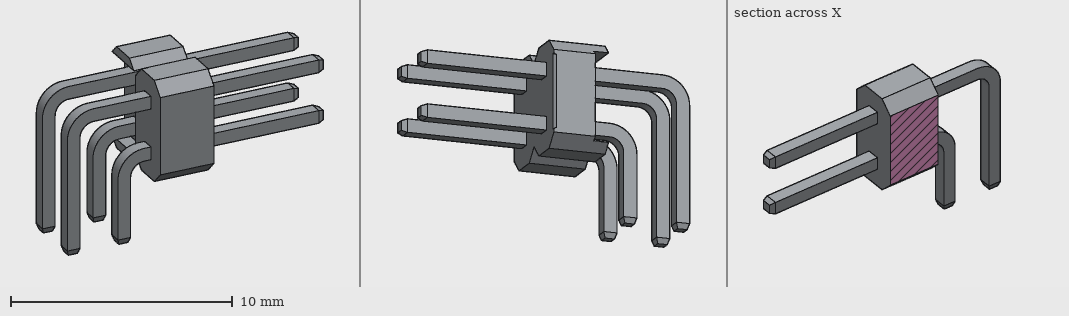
import cadquery as cq
import math

PITCH = 2.54
COLUMNS = 2
ROWS = 2

BODY_DEPTH = 2.7
BODY_HEIGHT = ROWS * PITCH
CORNER_WIDTH = 0.61
CORNER_HEIGHT = 0.6

STEP_DEPTH = 0.7
STEP_MARGIN = 0.44

BEVEL = 0.12
BEVEL_LENGTH = 3.55
BEVEL_END_SLANT = 0.06

PIN = 0.64
BEND_RADIUS = 1.0
REAR_LENGTH = 6.0
FRONT_REACH = 4.2
LEG_DROP = 3.0
TIP_LENGTH = 0.27
TIP_WIDTH = 0.46
TIP_TAPER = math.degrees(math.atan((PIN - TIP_WIDTH) / 2 / TIP_LENGTH))


def block(left):
    """One body block: a rectangle with four bevelled corners, extruded to the rear."""
    right = left + PITCH
    outline = [
        (left + CORNER_WIDTH, 0),
        (right - CORNER_WIDTH, 0),
        (right, CORNER_HEIGHT),
        (right, BODY_HEIGHT - CORNER_HEIGHT),
        (right - CORNER_WIDTH, BODY_HEIGHT),
        (left + CORNER_WIDTH, BODY_HEIGHT),
        (left, BODY_HEIGHT - CORNER_HEIGHT),
        (left, CORNER_HEIGHT),
    ]
    return cq.Workplane("XZ").polyline(outline).close().extrude(-BODY_DEPTH)


def front_step():
    """Material removed across the full width of the first block."""
    step_height = BODY_HEIGHT - 2 * STEP_MARGIN
    lower_corner = (0, 0, STEP_MARGIN)
    return cq.Workplane("XY", origin=lower_corner).box(PITCH, STEP_DEPTH, step_height, centered=False)


def rear_bevel():
    """Triangular cut along the left rear edge, with slanted ends."""
    bottom = (BODY_HEIGHT - BEVEL_LENGTH) / 2
    top = bottom + BEVEL_LENGTH
    inner_y = BODY_DEPTH - BEVEL
    edge_prism = (
        cq.Workplane("XY")
        .polyline([(0, inner_y), (0, BODY_DEPTH), (BEVEL, BODY_DEPTH)])
        .close()
        .extrude(BODY_HEIGHT)
    )
    side_profile = (
        cq.Workplane("YZ")
        .polyline([
            (BODY_DEPTH, bottom),
            (BODY_DEPTH, top),
            (inner_y, top - BEVEL_END_SLANT),
            (inner_y, bottom + BEVEL_END_SLANT),
        ])
        .close()
        .extrude(BEVEL)
    )
    return edge_prism.intersect(side_profile)


def tip(base, direction):
    """Tapered pin tip that grows from the base point in the given direction."""
    plane = cq.Plane(origin=base, xDir=(1, 0, 0), normal=direction)
    return cq.Workplane(plane).rect(PIN, PIN).extrude(TIP_LENGTH, taper=TIP_TAPER)


def pin(column, row):
    """One bent pin: straight through the body, around the bend and down."""
    x = (column + 0.5) * PITCH
    z = (row + 0.5) * PITCH
    leg_y = -FRONT_REACH + PIN / 2 + (ROWS - 1 - row) * PITCH
    rear_y = BODY_DEPTH + REAR_LENGTH - TIP_LENGTH
    leg_z = -LEG_DROP + TIP_LENGTH
    path = (
        cq.Workplane("YZ", origin=(x, 0, 0))
        .moveTo(rear_y, z)
        .lineTo(leg_y + BEND_RADIUS, z)
        .tangentArcPoint((leg_y, z - BEND_RADIUS), relative=False)
        .lineTo(leg_y, leg_z)
    )
    shaft = cq.Workplane("XZ", origin=(x, rear_y, z)).rect(PIN, PIN).sweep(path)
    rear_tip = tip((x, rear_y, z), (0, 1, 0))
    leg_tip = tip((x, leg_y, leg_z), (0, 0, -1))
    return shaft.union(rear_tip).union(leg_tip)


result = block(0).cut(front_step()).cut(rear_bevel())
for column in range(1, COLUMNS):
    result = result.union(block(column * PITCH))

for column in range(COLUMNS):
    for row in range(ROWS):
        result = result.union(pin(column, row))